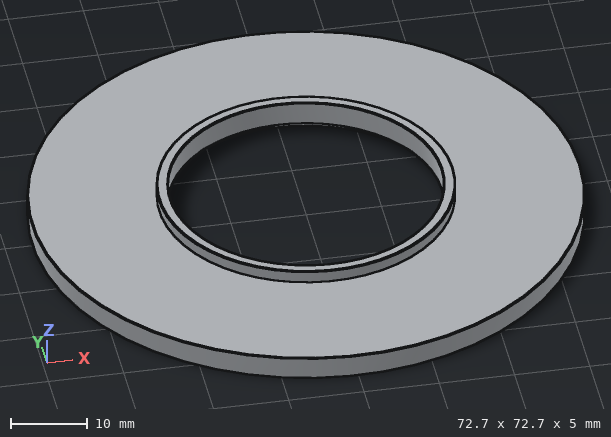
import cadquery as cq

flange_diameter = 72.7
collar_diameter = 39.0
bore_diameter = 36.0
total_height = 5.0
flange_thickness = 3.3
edge_chamfer = 0.1
recess_clearance = 0.6
recess_diameter = collar_diameter + recess_clearance
recess_depth = total_height - flange_thickness


def disc(diameter, height):
    """Solid disc standing on the underside plane."""
    return cq.Workplane("XY").circle(diameter / 2).extrude(height)


flange = disc(flange_diameter, flange_thickness).edges().chamfer(edge_chamfer)

collar = disc(collar_diameter, total_height)
bore = disc(bore_diameter, total_height)
body = flange.union(collar).cut(bore)
body = body.faces(">Z").edges().chamfer(edge_chamfer)

recess = disc(recess_diameter, recess_depth)
result = body.cut(recess)